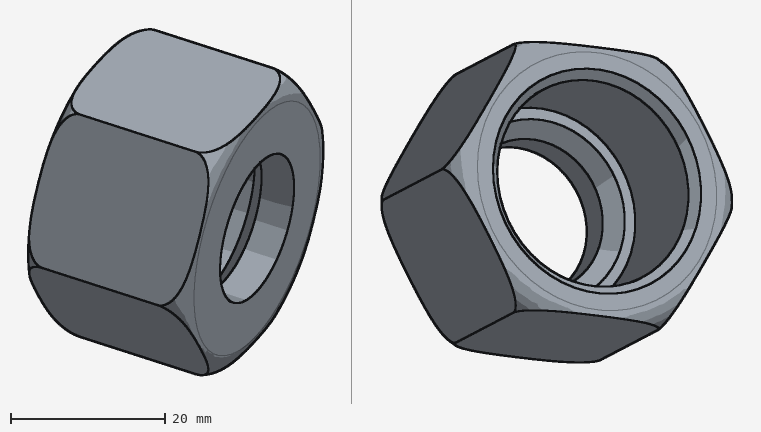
import cadquery as cq
import math

across_corners = 41.55
length = 24.0

face_diameter = 34.5
crown_radius = (across_corners - face_diameter) / 2

thread_diameter = 27.55
mouth_diameter = 30.0
mouth_chamfer = (mouth_diameter - thread_diameter) / 2
thread_depth = 17.05
cone_diameter = 24.53
hole_diameter = 20.25
cone_half_angle = 45.0
cone_depth = (cone_diameter - hole_diameter) / 2 / math.tan(math.radians(cone_half_angle))


def hexagon_blank():
    """Hexagonal prism with both ends rounded by a crown of revolution."""
    prism = cq.Workplane("YZ").polygon(6, across_corners).extrude(length)
    envelope = (
        cq.Workplane("YZ")
        .circle(across_corners / 2)
        .extrude(length)
        .edges("%CIRCLE")
        .fillet(crown_radius)
    )
    return prism.intersect(envelope)


def stepped_bore():
    """Threaded bore with a mouth chamfer, a flat shoulder, a cone and a through hole."""
    profile = [
        (0, 0),
        (0, mouth_diameter / 2),
        (mouth_chamfer, thread_diameter / 2),
        (thread_depth, thread_diameter / 2),
        (thread_depth, cone_diameter / 2),
        (thread_depth + cone_depth, hole_diameter / 2),
        (length, hole_diameter / 2),
        (length, 0),
    ]
    return cq.Workplane("XY").polyline(profile).close().revolve(360, (0, 0, 0), (1, 0, 0))


result = hexagon_blank().cut(stepped_bore())